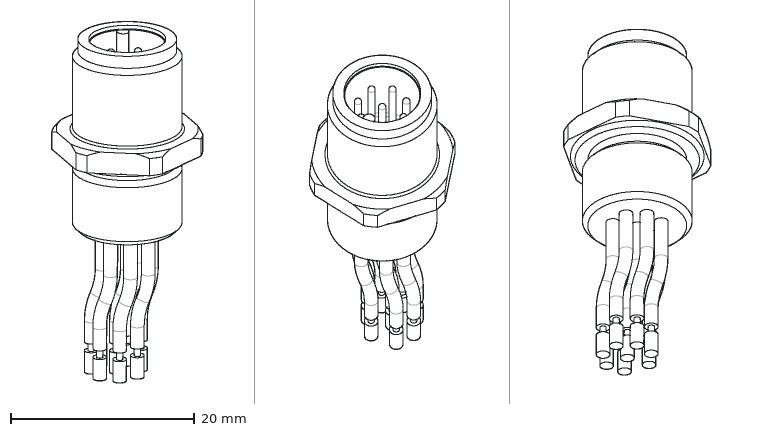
import cadquery as cq
import math

TOP_Z = 13.5
HOUSING_BOTTOM_Z = -8.5
OVERALL_HEIGHT = 38.8
WIRE_BOTTOM_Z = TOP_Z - OVERALL_HEIGHT

BODY_RADIUS = 12.0 / 2
NECK_RADIUS = 10.8 / 2
BODY_CHAMFER = BODY_RADIUS - NECK_RADIUS
TOP_NECK_LENGTH = 1.4
UNDERCUT_LENGTH = 1.0
COLLAR_CHAMFER = 0.25

HEX_SIDES = 6
HALF_SIDE_ANGLE = 180 / HEX_SIDES
FLAT_TO_FLAT = 15.0
CORNER_RADIUS = 16.5 / 2
HEX_BOTTOM_Z = 0.5
HEX_THICKNESS = 2.5
HEX_TOP_Z = HEX_BOTTOM_Z + HEX_THICKNESS
HEX_TOP_CHAMFER = 0.5
SEAT_RADIUS = 6.8
SEAT_CHAMFER = HEX_BOTTOM_Z

LIP_RADIUS = 8.4 / 2
LIP_TAPER = 0.05
LIP_STEP = 0.05
LIP_STEP_HEIGHT = 0.1
BORE_RADIUS = LIP_RADIUS - LIP_TAPER - LIP_STEP
LIP_DEPTH = 0.5
BORE_DEPTH = 8.5
FLOOR_FILLET = 0.3
FLOOR_Z = TOP_Z - BORE_DEPTH

KEY_RADIUS = 1.3 / 2
KEY_CENTRE_RADIUS = 3.55
KEY_ANGLE = 135.0
KEY_TOP_Z = TOP_Z - LIP_DEPTH

PIN_RADIUS = 0.8 / 2
PIN_TOP_Z = TOP_Z - 2.0
CONTACT_CIRCLE_RADIUS = 5.5 / 2
RING_CONTACTS = 7
CONTACT_PITCH = 49.0

WIRE_RADIUS = 1.5 / 2
CONDUCTOR_RADIUS = 0.7 / 2
STRAIGHT_LENGTH = 4.8
BEND_HEIGHT = 6.0
BEND_OFFSET = 1.2
BEND_DIRECTION = 225.0
STRIPPED_GAP = 1.0
END_SLEEVE_LENGTH = 2.5
LOWER_STRAIGHT_LENGTH = (
    HOUSING_BOTTOM_Z - STRAIGHT_LENGTH - BEND_HEIGHT
    - (WIRE_BOTTOM_Z + END_SLEEVE_LENGTH + STRIPPED_GAP)
)

EMBED = 0.5


def polar(radius, angle):
    """Point in the XY plane at a radius and an angle in degrees."""
    return (radius * math.cos(math.radians(angle)), radius * math.sin(math.radians(angle)))


def cylinder(centre, radius, bottom_z, top_z):
    """Vertical round bar between two heights."""
    return cq.Workplane("XY", origin=(*centre, bottom_z)).circle(radius).extrude(top_z - bottom_z)


def revolved(profile):
    """Solid of revolution about Z from (radius, z) points."""
    return cq.Workplane("XZ").polyline(profile).close().revolve(360, (0, 0, 0), (0, 1, 0))


def make_housing():
    """Stepped round housing, from the bottom chamfer up to the top neck."""
    undercut_bottom = -UNDERCUT_LENGTH
    top_shoulder = TOP_Z - TOP_NECK_LENGTH
    return revolved([
        (0, HOUSING_BOTTOM_Z),
        (NECK_RADIUS, HOUSING_BOTTOM_Z),
        (BODY_RADIUS, HOUSING_BOTTOM_Z + BODY_CHAMFER),
        (BODY_RADIUS, undercut_bottom - BODY_CHAMFER),
        (NECK_RADIUS, undercut_bottom),
        (NECK_RADIUS, 0),
        (SEAT_RADIUS, 0),
        (SEAT_RADIUS + SEAT_CHAMFER, HEX_BOTTOM_Z),
        (BODY_RADIUS + COLLAR_CHAMFER, HEX_BOTTOM_Z),
        (BODY_RADIUS + COLLAR_CHAMFER, HEX_TOP_Z),
        (BODY_RADIUS, HEX_TOP_Z + COLLAR_CHAMFER),
        (BODY_RADIUS, top_shoulder - BODY_CHAMFER),
        (NECK_RADIUS, top_shoulder),
        (NECK_RADIUS, TOP_Z),
        (0, TOP_Z),
    ])


def make_hexagon():
    """Hexagon with rounded corners, chamfered on top, with flats facing +X and -X."""
    across_corners = FLAT_TO_FLAT / math.cos(math.radians(HALF_SIDE_ANGLE))
    hexagon = (
        cq.Workplane("XY", origin=(0, 0, HEX_BOTTOM_Z))
        .polygon(HEX_SIDES, across_corners)
        .extrude(HEX_THICKNESS)
        .rotate((0, 0, 0), (0, 0, 1), HALF_SIDE_ANGLE)
    )
    envelope = cylinder((0, 0), CORNER_RADIUS, HEX_BOTTOM_Z, HEX_TOP_Z)
    return hexagon.intersect(envelope.faces(">Z").chamfer(HEX_TOP_CHAMFER))


def make_socket():
    """Round cavity with a wider lip and a rounded floor edge."""
    bore = cylinder((0, 0), BORE_RADIUS, FLOOR_Z, TOP_Z).faces("<Z").edges().fillet(FLOOR_FILLET)
    lip = revolved([
        (0, KEY_TOP_Z),
        (BORE_RADIUS, KEY_TOP_Z),
        (BORE_RADIUS + LIP_STEP, KEY_TOP_Z + LIP_STEP_HEIGHT),
        (LIP_RADIUS, TOP_Z),
        (0, TOP_Z),
    ])
    return bore.union(lip)


def make_key():
    """Rib on the socket wall with parallel sides and a round nose."""
    nose = cylinder((KEY_CENTRE_RADIUS, 0), KEY_RADIUS, FLOOR_Z - EMBED, KEY_TOP_Z)
    root_length = LIP_RADIUS + EMBED - KEY_CENTRE_RADIUS
    root = (
        cq.Workplane("XY", origin=(KEY_CENTRE_RADIUS, 0, FLOOR_Z - EMBED))
        .rect(root_length, 2 * KEY_RADIUS, centered=(False, True))
        .extrude(KEY_TOP_Z - FLOOR_Z + EMBED)
    )
    return nose.union(root).rotate((0, 0, 0), (0, 0, 1), KEY_ANGLE)


def make_pin(centre):
    """Contact pin with a hemispherical tip, rooted in the socket floor."""
    pin = cylinder(centre, PIN_RADIUS, FLOOR_Z - EMBED, PIN_TOP_Z - PIN_RADIUS)
    tip = cq.Workplane("XY", origin=(*centre, PIN_TOP_Z - PIN_RADIUS)).sphere(PIN_RADIUS)
    return pin.union(tip)


def make_wire(centre):
    """Insulated wire with an S-bend, a stripped gap and a short end sleeve."""
    bend_top = HOUSING_BOTTOM_Z - STRAIGHT_LENGTH
    shift = polar(BEND_OFFSET, BEND_DIRECTION)
    end = (centre[0] + shift[0], centre[1] + shift[1])

    bend_plane = cq.Plane(
        origin=(*centre, bend_top),
        xDir=(*polar(1, BEND_DIRECTION), 0),
        normal=(*polar(1, BEND_DIRECTION - 90), 0),
    )
    half_bend = (BEND_OFFSET / 2, -BEND_HEIGHT / 2)
    path = (
        cq.Workplane(bend_plane)
        .moveTo(0, STRAIGHT_LENGTH + EMBED)
        .lineTo(0, 0)
        .tangentArcPoint(half_bend)
        .tangentArcPoint(half_bend)
        .line(0, -LOWER_STRAIGHT_LENGTH)
    )
    insulation = (
        cq.Workplane("XY", origin=(*centre, HOUSING_BOTTOM_Z + EMBED))
        .circle(WIRE_RADIUS)
        .sweep(path)
    )
    sleeve_top = WIRE_BOTTOM_Z + END_SLEEVE_LENGTH
    end_sleeve = cylinder(end, WIRE_RADIUS, WIRE_BOTTOM_Z, sleeve_top)
    conductor = cylinder(end, CONDUCTOR_RADIUS, sleeve_top - EMBED, sleeve_top + STRIPPED_GAP + EMBED)
    return insulation.union(end_sleeve).union(conductor)


ring_start = KEY_ANGLE + 180 - CONTACT_PITCH * (RING_CONTACTS - 1) / 2
contact_centres = [(0, 0)]
for index in range(RING_CONTACTS):
    contact_centres.append(polar(CONTACT_CIRCLE_RADIUS, ring_start + index * CONTACT_PITCH))

housing = make_housing()
result = housing.union(make_hexagon()).cut(make_socket())
result = result.union(make_key().intersect(housing))
for contact_centre in contact_centres:
    result = result.union(make_pin(contact_centre)).union(make_wire(contact_centre))